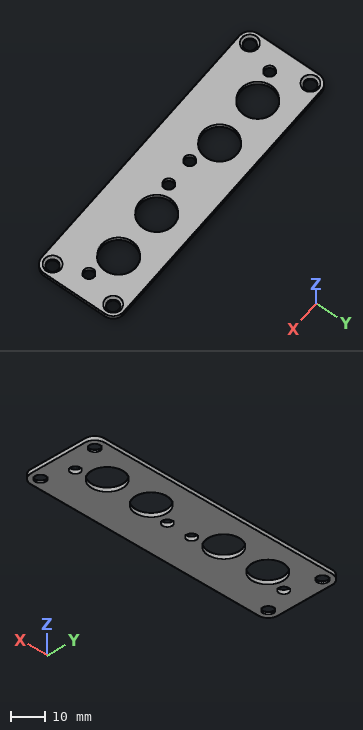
import cadquery as cq

length = 102.9
width = 30.5
thickness = 1.5
corner_radius = 4.0

screw_diameter = 4.2
countersink_diameter = 5.9
countersink_angle = 90.0
screw_spacing_x = length - 2 * corner_radius
screw_spacing_y = width - 2 * corner_radius

opening_diameter = 12.7
opening_inner_x = 15.1
opening_pitch = 18.3
opening_y = 2.5
opening_outer_x = opening_inner_x + opening_pitch

small_diameter = 3.8
small_inner_x = 5.0
small_outer_x = 43.4
small_y = -0.8


def mirrored_row(inner_x, outer_x, y):
    """Centers of four holes in a row, mirrored about the plate's middle."""
    return [(side * x, y) for side in (-1, 1) for x in (inner_x, outer_x)]


plate = (
    cq.Workplane("XY")
    .box(length, width, thickness)
    .edges("|Z")
    .fillet(corner_radius)
)

with_screw_holes = (
    plate.faces(">Z")
    .workplane()
    .rect(screw_spacing_x, screw_spacing_y, forConstruction=True)
    .vertices()
    .cskHole(screw_diameter, countersink_diameter, countersink_angle)
)

with_openings = (
    with_screw_holes.faces(">Z")
    .workplane(origin=(0, 0, 0))
    .pushPoints(mirrored_row(opening_inner_x, opening_outer_x, opening_y))
    .hole(opening_diameter)
)

result = (
    with_openings.faces(">Z")
    .workplane(origin=(0, 0, 0))
    .pushPoints(mirrored_row(small_inner_x, small_outer_x, small_y))
    .hole(small_diameter)
)